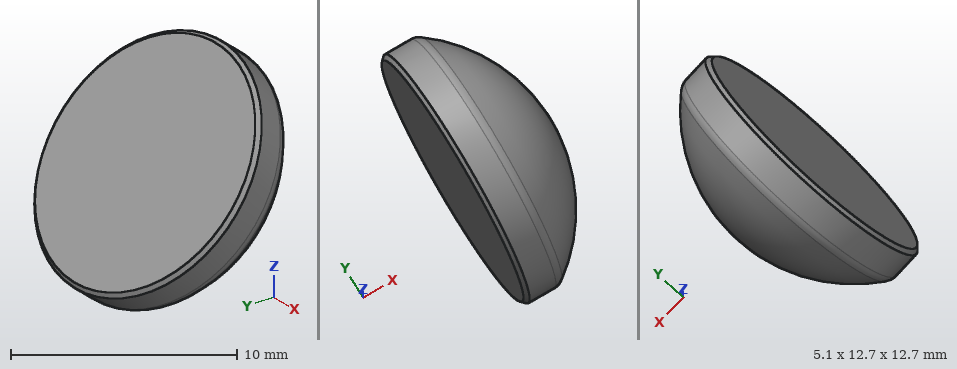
import cadquery as cq

outer_radius = 6.35
total_height = 5.1
face_chamfer = 0.2
rim_end = 1.55
shoulder_radius = 0.65

shoulder_centre_radius = outer_radius - shoulder_radius
rim_to_apex = total_height - rim_end
dome_radius = (rim_to_apex**2 + shoulder_centre_radius**2 - shoulder_radius**2) / (
    2 * (rim_to_apex - shoulder_radius)
)
dome_centre = cq.Vector(total_height - dome_radius, 0)
shoulder_centre = cq.Vector(rim_end, shoulder_centre_radius)


def point_on_arc(centre, radius, direction):
    """Point at the given radius from the centre along a direction."""
    point = centre + direction.normalized() * radius
    return (point.x, point.y)


axis_direction = cq.Vector(1, 0)
radial_direction = cq.Vector(0, 1)
tangent_direction = (shoulder_centre - dome_centre).normalized()

shoulder_middle = point_on_arc(
    shoulder_centre, shoulder_radius, radial_direction + tangent_direction
)
shoulder_end = point_on_arc(dome_centre, dome_radius, tangent_direction)
dome_middle = point_on_arc(dome_centre, dome_radius, tangent_direction + axis_direction)

half_profile = (
    cq.Workplane("XY")
    .moveTo(0, 0)
    .lineTo(0, outer_radius - face_chamfer)
    .lineTo(face_chamfer, outer_radius)
    .lineTo(rim_end, outer_radius)
    .threePointArc(shoulder_middle, shoulder_end)
    .threePointArc(dome_middle, (total_height, 0))
    .close()
)

result = half_profile.revolve(360, (0, 0, 0), (1, 0, 0))